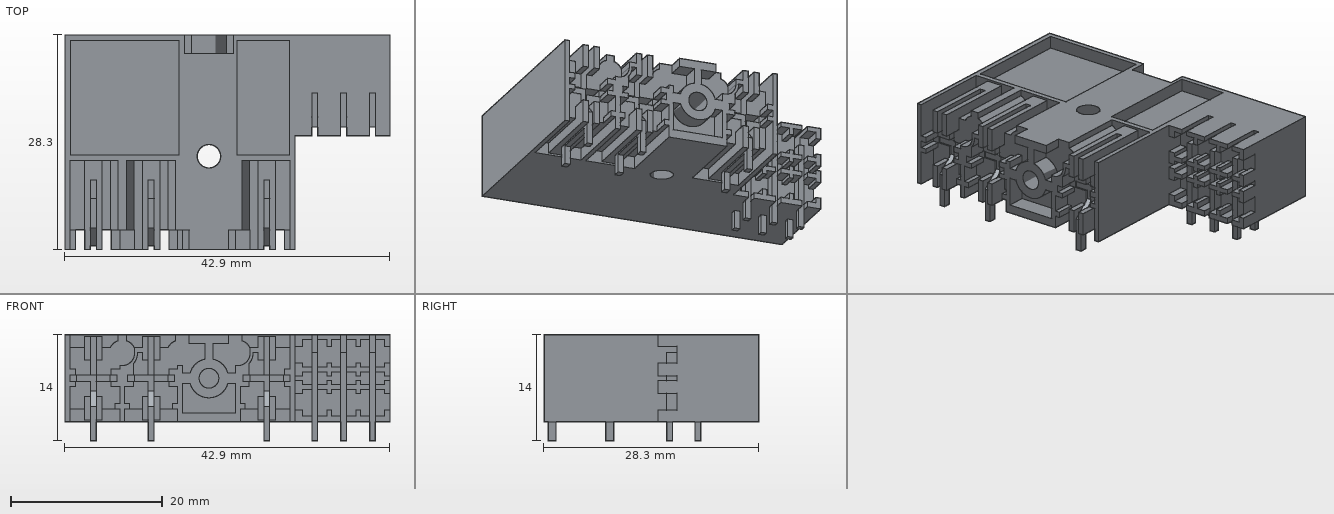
import cadquery as cq
import math

total_length = 42.88
depth = 28.3
height = 11.5
main_length = 30.36
wing_front = 15.0
pin_drop = 2.5
mid_height = height / 2

pole_pitch = 7.62
main_middle = main_length / 2
poles = [main_middle + step * pole_pitch for step in (-1.5, -0.5, 1.5)]
screw_x = main_middle + pole_pitch / 2
partition_x = main_middle - pole_pitch
left_frame_x = main_middle
right_frame_x = main_middle + pole_pitch

end_wall = 0.65
chamber_depth = 2.6
groove_back = 11.76
groove_depth = 1.68
groove_floor = height - groove_depth

block_half_width = 1.17
block_height = 3.1
block_inset = 0.26
lead_width = 0.78
lead_back = 9.18
lead_shoulder = (2.86, 4.1)
lead_front = (0.5, 2.0)
power_pin_depth = 1.07

contact_height = 0.9
contact_half_width = 3.1
contact_inner_half_width = 2.2
contact_back = 6.7
contact_bottom = mid_height - contact_height / 2
contact_top = mid_height + contact_height / 2

stem_half = 0.325
rib_half = 1.48
rib_bottom = 4.65
rib_top = 6.98
ridge_half = 0.97
ridge_height = 0.77
cradle_z = 9.04
cradle_radius = 1.615
cradle_outer_radius = 2.0
cradle_bridge_bottom = 9.17
divider_half = 0.58
shoulder_radius = 1.75

boss_radius = 2.58
boss_bore = 2.6
bore_depth = 8.0
arm_half_height = 0.71
frame_floor = 1.16
cap_half_width = 2.6
cap_thickness = 1.16
web_width = 1.03
rear_notch_width = 6.48
rear_notch_depth = 2.45
rear_boss_radius = 2.43
mount_hole = 3.06
mount_y = 12.3

pocket_wall = 0.75
pocket_front = 12.5
left_pocket_end = 15.07
right_pocket_start = 22.72

signal_pitch = 3.81
signal_edge_margin = 2.32
last_signal_x = total_length - signal_edge_margin
signals = [last_signal_x - step * signal_pitch for step in (2, 1, 0)]
cell_half_width = 1.6
cell_depth = 2.5
signal_slot_back = 20.67
signal_lead_front = 16.13
signal_lead_top = 9.17
signal_pin_depth = 0.8
signal_rows = [
    (0.78, 1.55, 3.75, 4.26),
    (4.91, 5.43, 6.07, 6.59),
    (7.24, 7.75, 9.95, 10.85),
]


def box(x, y, z):
    """Box from its (low, high) limits along each axis."""
    size = (x[1] - x[0], y[1] - y[0], z[1] - z[0])
    return cq.Workplane("XY").box(*size, centered=False).translate((x[0], y[0], z[0]))


def rod(x, z, radius, y):
    """Cylinder along Y between the two y limits."""
    length = y[1] - y[0]
    return cq.Workplane("XZ", origin=(x, y[1], z)).circle(radius).extrude(length)


def around(middle, half_width):
    return (middle - half_width, middle + half_width)


chamber_y = (0, chamber_depth)
groove_y = (chamber_depth, groove_back)
full_z = (0, height)


def housing():
    main = box((0, main_length), (0, depth), full_z)
    wing = box((main_length, total_length), (wing_front, depth), full_z)
    return main.union(wing)


def cut_front(body):
    """Open the chambers at the front and the grooves above and below behind them."""
    inside = (end_wall, main_length - end_wall)
    body = body.cut(box(inside, chamber_y, full_z))
    body = body.cut(box(inside, groove_y, (groove_floor, height)))
    return body.cut(box(inside, groove_y, (0, groove_depth)))


def add_groove_dividers(body):
    """Fill the grooves at the partition and screw frame; the upper fill has round shoulders."""
    upper = (groove_floor, height)
    lower = (0, groove_depth)
    for left, right in ((partition_x, partition_x), (left_frame_x, right_frame_x)):
        body = body.union(box((left - divider_half, right + divider_half), groove_y, upper))
        body = body.union(box((left - stem_half, right + stem_half), groove_y, lower))
    for x in (partition_x, left_frame_x, right_frame_x):
        body = body.union(rod(x, cradle_z, shoulder_radius, groove_y))
    return body


def partition_base(x, rib_sides):
    """Upright stem with a wide rib and a narrow ridge on each listed side (-1 left, +1 right)."""
    part = box(around(x, stem_half), chamber_y, (0, rib_top))
    for side in rib_sides:
        rib_x = sorted((x, x + side * rib_half))
        ridge_x = sorted((x, x + side * ridge_half))
        part = part.union(box(rib_x, chamber_y, (rib_bottom, rib_top)))
        part = part.union(box(ridge_x, chamber_y, (groove_depth, groove_depth + ridge_height)))
    return part


def cradle(x):
    """Curved trough on a partition, bridged on its right to the next terminal block."""
    diagonal = math.sqrt(0.5)
    inner_start = -math.sqrt(cradle_radius**2 - stem_half**2)
    bridge_rise = cradle_bridge_bottom - cradle_z
    bridge_root = math.sqrt(cradle_outer_radius**2 - bridge_rise**2)
    outer_end = -math.sqrt(cradle_outer_radius**2 - rib_half**2)
    outer_angle = (math.atan2(bridge_rise, bridge_root) + math.atan2(outer_end, rib_half)) / 2
    outer_mid = (cradle_outer_radius * math.cos(outer_angle), cradle_outer_radius * math.sin(outer_angle))
    bridge_end = pole_pitch / 2 - block_half_width
    base = rib_bottom - cradle_z
    outline = (
        cq.Workplane("XZ", origin=(x, chamber_depth, cradle_z))
        .moveTo(-stem_half, base)
        .lineTo(-stem_half, inner_start)
        .threePointArc((cradle_radius * diagonal, -cradle_radius * diagonal), (cradle_radius, 0))
        .lineTo(cradle_radius, groove_floor - cradle_z)
        .lineTo(bridge_end, groove_floor - cradle_z)
        .lineTo(bridge_end, bridge_rise)
        .lineTo(bridge_root, bridge_rise)
        .threePointArc(outer_mid, (rib_half, outer_end))
        .lineTo(rib_half, base)
        .close()
    )
    return outline.extrude(chamber_depth)


def add_partitions(body):
    body = body.union(partition_base(partition_x, (-1, 1))).union(cradle(partition_x))
    body = body.union(partition_base(right_frame_x, (1,))).union(cradle(right_frame_x))
    body = body.union(partition_base(left_frame_x, (-1,)))
    nub_z = (rib_top, cradle_z - cradle_radius)
    body = body.union(box(around(left_frame_x, stem_half), chamber_y, nub_z))
    rib_from_pole = pole_pitch / 2 - rib_half
    rib_z = (rib_bottom, rib_top)
    body = body.union(box((0, poles[0] - rib_from_pole), chamber_y, rib_z))
    return body.union(box((poles[-1] + rib_from_pole, main_length), chamber_y, rib_z))


def add_screw_frame(body):
    """Boss held in a frame by side arms and a web under a cap."""
    frame_x = (left_frame_x, right_frame_x)
    body = body.union(box(frame_x, chamber_y, (0, frame_floor)))
    body = body.union(box(frame_x, chamber_y, around(mid_height, arm_half_height)))
    body = body.union(box(around(screw_x, cap_half_width), chamber_y, (height - cap_thickness, height)))
    body = body.union(box(around(screw_x, web_width / 2), chamber_y, (mid_height, height)))
    body = body.union(rod(screw_x, mid_height, boss_radius, chamber_y))
    return body.cut(rod(screw_x, mid_height, boss_bore / 2, (0, bore_depth)))


def cut_rear_notch(body):
    notch_y = (depth - rear_notch_depth, depth)
    notch_z = (mid_height + arm_half_height, height)
    body = body.cut(box(around(screw_x, rear_notch_width / 2), notch_y, notch_z))
    return body.union(rod(screw_x, mid_height, rear_boss_radius, notch_y))


def power_lead(x):
    """Flat lead behind a bent front edge, with a contact tab to its left and two pins below."""
    half = lead_width / 2
    outline = [
        (lead_front[0], 0),
        lead_front,
        lead_shoulder,
        (lead_shoulder[0], contact_bottom),
        (lead_back, contact_bottom),
        (lead_back, 0),
    ]
    lead = cq.Workplane("YZ", origin=(x - half, 0, 0)).polyline(outline).close().extrude(lead_width)
    tab_y = (lead_shoulder[0], contact_back)
    tab_z = (contact_bottom, contact_top)
    lead = lead.union(box((x - contact_inner_half_width, x + half), tab_y, tab_z))
    for pin_front in (lead_front[0], lead_back - power_pin_depth):
        pin_y = (pin_front, pin_front + power_pin_depth)
        lead = lead.union(box(around(x, half), pin_y, (-pin_drop, groove_depth)))
    return lead


def add_terminal(body, x):
    """Upper and lower blocks, the contact slot between them, and the slotted-in lead."""
    block_y = (0, groove_back)
    lower_z = (block_inset, block_inset + block_height)
    upper_z = (height - block_inset - block_height, height - block_inset)
    for block_z in (lower_z, upper_z):
        body = body.union(box(around(x, block_half_width), block_y, block_z))
    contact_z = (contact_bottom, contact_top)
    body = body.cut(box(around(x, contact_half_width), chamber_y, contact_z))
    body = body.cut(box(around(x, contact_inner_half_width), (0, contact_back), contact_z))
    lead_x = around(x, lead_width / 2)
    body = body.cut(box(lead_x, (0, lead_back), full_z))
    return body.union(power_lead(x))


def cut_top_pockets(body):
    pocket_y = (pocket_front, depth - pocket_wall)
    pocket_z = (groove_floor, height)
    body = body.cut(box((pocket_wall, left_pocket_end), pocket_y, pocket_z))
    return body.cut(box((right_pocket_start, main_length - pocket_wall), pocket_y, pocket_z))


def cut_signal_rows(body):
    """Three stacked slots across the wing front, taller at each signal contact."""
    cell_y = (wing_front, wing_front + cell_depth)
    for cell_bottom, slot_bottom, slot_top, cell_top in signal_rows:
        body = body.cut(box((main_length, total_length), cell_y, (slot_bottom, slot_top)))
        for x in signals:
            body = body.cut(box(around(x, cell_half_width), cell_y, (cell_bottom, cell_top)))
    return body


def add_signal_contact(body, x):
    """Full-height slot filled by a flat lead with two pins below the housing."""
    lead_x = around(x, lead_width / 2)
    body = body.cut(box(lead_x, (wing_front, signal_slot_back), full_z))
    body = body.union(box(lead_x, (signal_lead_front, signal_slot_back), (0, signal_lead_top)))
    for pin_front in (signal_lead_front, signal_slot_back - signal_pin_depth):
        pin_y = (pin_front, pin_front + signal_pin_depth)
        body = body.union(box(lead_x, pin_y, (-pin_drop, signal_lead_top)))
    return body


def cut_mount_hole(body):
    hole = cq.Workplane("XY").center(screw_x, mount_y).circle(mount_hole / 2).extrude(height)
    return body.cut(hole)


part = cut_front(housing())
part = add_groove_dividers(part)
part = add_partitions(part)
part = add_screw_frame(part)
part = cut_rear_notch(part)
for pole_x in poles:
    part = add_terminal(part, pole_x)
part = cut_top_pockets(part)
part = cut_signal_rows(part)
for signal_x in signals:
    part = add_signal_contact(part, signal_x)
result = cut_mount_hole(part)